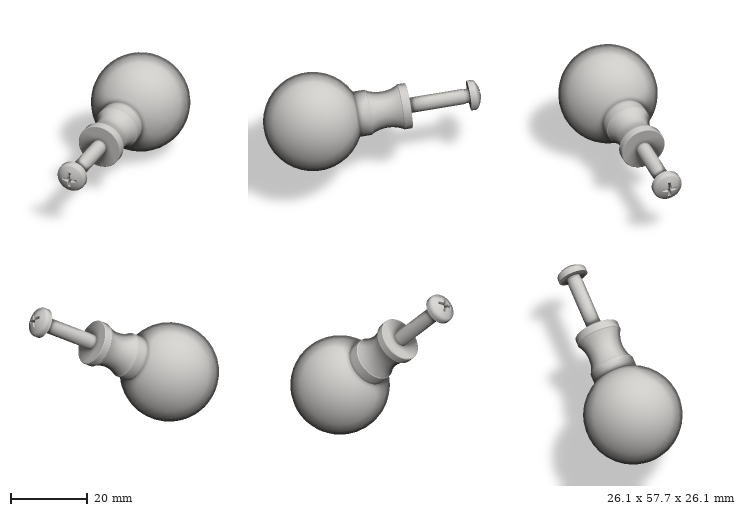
import cadquery as cq
import math


ball_radius = 13.05
knob_length = 38.6
ball_center_y = knob_length - ball_radius
collar_radius = 6.0
foot_thickness = 2.15
waist_end_y = 10.85
waist_radius = 4.8
edge_chamfer = 0.2

shaft_radius = 2.0
neck_radius = 1.85
shaft_length = 14.65
taper_length = 0.3
head_seat_y = -16.05
head_radius = 4.0
head_rim_thickness = 1.05
shoulder_length = 1.05
dome_base_radius = 3.35
overall_length = 57.7
apex_loss = 0.05
head_tip_y = knob_length - overall_length - apex_loss

recess_span = 5.1
recess_width = 0.85
recess_depth = 1.45
recess_floor_span = 1.75
recess_floor_width = 0.5
recess_core_radius = 0.8
recess_core_floor_radius = 0.4


def revolve_about_y(profile):
    """Close a radius-y profile drawn in the XY plane and turn it about the Y axis."""
    return profile.close().revolve(360, (0, 0, 0), (0, 1, 0))


def make_knob():
    """Ball on a turned stem with a concave waist and small chamfers on the stem edges."""
    ball_junction_y = ball_center_y - math.sqrt(ball_radius**2 - collar_radius**2)
    waist_middle_y = (foot_thickness + waist_end_y) / 2
    chamfer_radius = collar_radius - edge_chamfer
    profile = (
        cq.Workplane("XY")
        .moveTo(0, 0)
        .lineTo(chamfer_radius, 0)
        .lineTo(collar_radius, edge_chamfer)
        .lineTo(collar_radius, foot_thickness)
        .lineTo(chamfer_radius, foot_thickness + edge_chamfer)
        .threePointArc((waist_radius, waist_middle_y), (chamfer_radius, waist_end_y - edge_chamfer))
        .lineTo(collar_radius, waist_end_y)
        .lineTo(collar_radius, ball_junction_y)
        .threePointArc((ball_radius, ball_center_y), (0, knob_length))
    )
    return revolve_about_y(profile)


def dome_arc_middle():
    """Middle point of the spherical dome between its base circle and the tip."""
    dome_height = head_seat_y - head_rim_thickness - shoulder_length - head_tip_y
    dome_radius = (dome_base_radius**2 + dome_height**2) / (2 * dome_height)
    half_angle = math.asin(dome_base_radius / dome_radius) / 2
    return (
        dome_radius * math.sin(half_angle),
        head_tip_y + dome_radius * (1 - math.cos(half_angle)),
    )


def head_tip_plane():
    """Workplane at the head tip, facing into the screw."""
    return cq.Workplane(cq.Plane((0, head_tip_y, 0), (1, 0, 0), (0, 1, 0)))


def recess_slot(angle):
    """One tapered slot of the cross, narrowing from the head tip down to its floor."""
    return (
        head_tip_plane()
        .rect(recess_span, recess_width)
        .workplane(offset=recess_depth)
        .rect(recess_floor_span, recess_floor_width)
        .loft(ruled=True)
        .rotate((0, 0, 0), (0, 1, 0), angle)
    )


def recess_core():
    """Tapered middle of the cross, which breaks the inner corners between the slots."""
    return (
        head_tip_plane()
        .circle(recess_core_radius)
        .workplane(offset=recess_depth)
        .circle(recess_core_floor_radius)
        .loft(ruled=True)
    )


def make_screw():
    """Screw with a plain shaft, a thinner neck and a domed head with a cross recess."""
    rim_end_y = head_seat_y - head_rim_thickness
    dome_base_y = rim_end_y - shoulder_length
    profile = (
        cq.Workplane("XY")
        .moveTo(0, 0)
        .lineTo(shaft_radius, 0)
        .lineTo(shaft_radius, -shaft_length)
        .lineTo(neck_radius, -shaft_length - taper_length)
        .lineTo(neck_radius, head_seat_y)
        .lineTo(head_radius, head_seat_y)
        .lineTo(head_radius, rim_end_y)
        .tangentArcPoint((dome_base_radius, dome_base_y), relative=False)
        .threePointArc(dome_arc_middle(), (0, head_tip_y))
    )
    screw = revolve_about_y(profile)
    for angle in (0, 90):
        screw = screw.cut(recess_slot(angle))
    return screw.cut(recess_core())


knob = make_knob()
screw = make_screw()
result = cq.Compound.makeCompound([knob.val(), screw.val()])